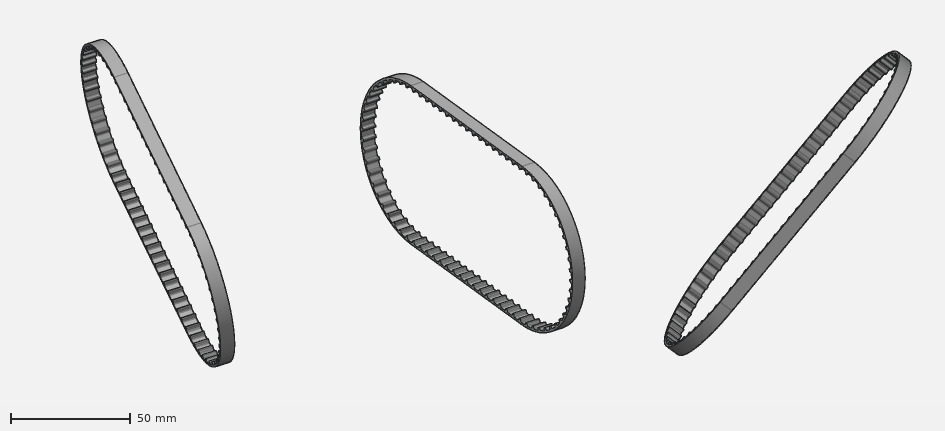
import cadquery as cq
import math

tooth_count = 80
belt_width = 6.35
outer_radius = 38.1
overall_length = 159.71
back_thickness = 1.016
tooth_height = 1.27
tooth_root_width = 2.08
tooth_flank_angle = 50.0
root_fillet_radius = 0.38
tip_fillet_radius = 0.38

straight_length = overall_length - 2 * outer_radius
half_straight = straight_length / 2
root_radius = outer_radius - back_thickness
tooth_pitch = 2 * (straight_length + math.pi * root_radius) / tooth_count
flank_slope = math.tan(math.radians(tooth_flank_angle / 2))
tooth_tip_width = tooth_root_width - 2 * tooth_height * flank_slope
tooth_embed = back_thickness / 2
edge_tolerance = 0.1


def extrude_belt_width(sketch):
    """Extrude an XZ outline to the belt width, centred on Y = 0."""
    return sketch.extrude(belt_width / 2, both=True)


def racetrack(radius):
    """Solid racetrack plate centred on the origin."""
    return extrude_belt_width(cq.Workplane("XZ").slot2D(straight_length + 2 * radius, 2 * radius))


def quadrant_block():
    """Block covering the quarter of the loop with positive X and Z."""
    return extrude_belt_width(
        cq.Workplane("XZ").rect(overall_length / 2, outer_radius, centered=False)
    )


def top_tooth():
    """Tooth at X = 0 pointing down from the top run, with rounded tip corners."""
    half_root = tooth_root_width / 2
    half_tip = tooth_tip_width / 2
    profile = [
        (-half_root, root_radius + tooth_embed),
        (-half_root, root_radius),
        (-half_tip, root_radius - tooth_height),
        (half_tip, root_radius - tooth_height),
        (half_root, root_radius),
        (half_root, root_radius + tooth_embed),
    ]
    tooth = extrude_belt_width(cq.Workplane("XZ").polyline(profile).close())
    return tooth.faces("<Z").edges("|Y").fillet(tip_fillet_radius)


def place_tooth(tooth, distance):
    """Move the top tooth a distance along the root line towards the +X end of the loop."""
    straight_distance = min(distance, half_straight)
    turn = math.degrees((distance - straight_distance) / root_radius)
    return tooth.rotate((0, 0, 0), (0, 1, 0), turn).translate((straight_distance, 0, 0))


def is_tooth_root(edge):
    """True for an edge where a tooth flank meets the root line of the quarter loop."""
    center = edge.Center()
    past_straight = center.x - half_straight
    root_distance = math.hypot(max(past_straight, 0), center.z)
    on_root_line = abs(root_distance - root_radius) < edge_tolerance
    at_arc_start = abs(past_straight) < edge_tolerance
    return on_root_line and not at_arc_start


base_tooth = top_tooth()
teeth = []
for index in range(tooth_count // 4 + 1):
    teeth.append(place_tooth(base_tooth, index * tooth_pitch).val())

band = racetrack(outer_radius).cut(racetrack(root_radius))
toothed_band = cq.Workplane(band.val().fuse(*teeth).clean())
quarter_loop = toothed_band.intersect(quadrant_block())
quarter_loop = quarter_loop.edges("|Y").filter(is_tooth_root).fillet(root_fillet_radius)

half_loop = quarter_loop.union(quarter_loop.mirror("YZ"))
result = half_loop.union(half_loop.mirror("XY")).clean()